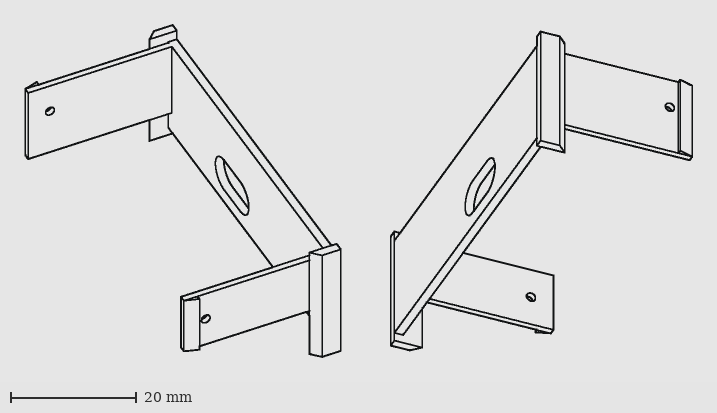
import cadquery as cq

width = 60.7
depth = 27.0
height = 21.45

rail_width = 1.5
rail_depth = 4.85
rail_chamfer = 1.5

plate_thickness = 1.5
plate_height = 18.1
plate_bottom = 1.5
plate_top = plate_bottom + plate_height
arm_gap = 0.2
arm_thickness = 1.1
arm_outer_x = width / 2 - rail_width - arm_gap
left_arm_height = 13.95
right_arm_height = 10.7

hole_diameter = 1.5
hole_from_tip = 3.9
hole_below_top = 5.35

slot_length = 12.0
slot_height = 6.2
slot_center_x = -5.8
slot_below_top = 12.4
slot_center_z = plate_top - slot_below_top

catch_length = 2.4
catch_projection = 0.7

sides = [(-1, left_arm_height), (1, right_arm_height)]


def make_arm(side, arm_height):
    """Flat arm running from the back of the plate to the front, flush with the plate's top."""
    center_x = side * (arm_outer_x - arm_thickness / 2)
    arm = cq.Workplane("XY").box(arm_thickness, depth, arm_height)
    return arm.translate((center_x, depth / 2, plate_top - arm_height / 2))


def make_bracket():
    """Back plate and both arms in one piece, with the slot and the arm holes."""
    plate_width = width - 2 * rail_width
    bracket = cq.Workplane("XY").box(plate_width, plate_thickness, plate_height)
    bracket = bracket.translate((0, depth - plate_thickness / 2, plate_bottom + plate_height / 2))
    for side, arm_height in sides:
        bracket = bracket.union(make_arm(side, arm_height))

    slot = (
        cq.Workplane("XZ", origin=(slot_center_x, depth, slot_center_z))
        .slot2D(slot_length, slot_height)
        .extrude(plate_thickness)
    )
    arm_holes = (
        cq.Workplane("YZ", origin=(0, hole_from_tip, plate_top - hole_below_top))
        .circle(hole_diameter / 2)
        .extrude(width / 2, both=True)
    )
    return bracket.cut(slot).cut(arm_holes)


def make_rail(side):
    """Full-height rail against the end of the plate, chamfered at its outer front edge."""
    outer_x = side * width / 2
    inner_x = side * (width / 2 - rail_width)
    front_y = depth - rail_depth
    return (
        cq.Workplane("XY")
        .moveTo(outer_x, depth)
        .lineTo(inner_x, depth)
        .lineTo(inner_x, front_y)
        .lineTo(outer_x, front_y + rail_chamfer)
        .close()
        .extrude(height)
    )


def make_catch(side, arm_height):
    """Wedge along the arm tip, as tall as the arm and tapering to nothing at the front."""
    return (
        cq.Workplane("XY", origin=(0, 0, plate_top - arm_height))
        .moveTo(side * arm_outer_x, 0)
        .lineTo(side * arm_outer_x, catch_length)
        .lineTo(side * (arm_outer_x + catch_projection), catch_length)
        .close()
        .extrude(arm_height)
    )


bracket = make_bracket()
rails = [make_rail(side) for side, _ in sides]
catches = [make_catch(side, arm_height) for side, arm_height in sides]

result = cq.Compound.makeCompound(
    [
        bracket.solids().val(),
        *[rail.val() for rail in rails],
        *[catch.val() for catch in catches],
    ]
)